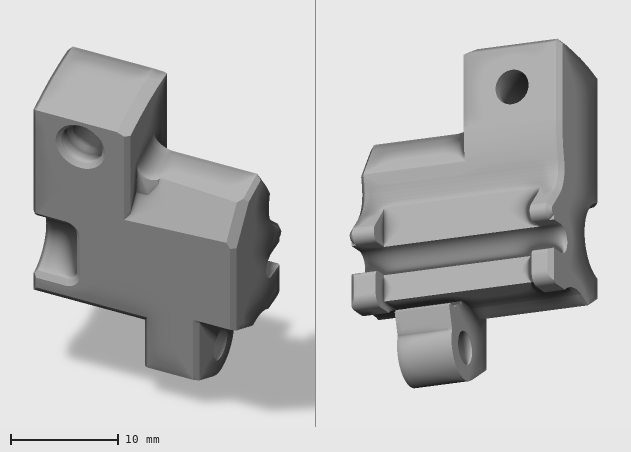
import cadquery as cq
import math

width = 20.6
edge_break = 0.45
slant_edge_break = 0.85
overshoot = 1.0
slab_size = 4 * width
tolerance = 0.01

tower_width = 9.84
top_z = 31.04
top_radius = 28.5
tower_corner_run = 1.19
tower_corner_drop = 0.5
back_y = 8.98
back_top_chamfer = 0.4
top_tangent_y = back_y - back_top_chamfer

shoulder_z = 23.8
shoulder_ridge_y = 6.3
shoulder_rear_slope = math.radians(55)
rear_edge_slope = math.radians(65)
shoulder_fall = 0.197
slant_z = 19.52
slant_rise_y = 1.207
slant_rise_x = 0.054
inner_fillet = 1.9
nose_foot = cq.Vector(tower_width, 1.74, 21.66)
nose_corner = cq.Vector(11.07, nose_foot.y, nose_foot.z)
nose_top = cq.Vector(tower_width, 2.0, 24.3)
nose_end = cq.Vector(12.17, 2.9, 23.13)

dip_start_z = 23.1
dip_radius = 3.6
dip_y = 8.46
lip_slope = math.radians(45)
max_y = 11.37
lip_radius = 0.9

slot_y = 8.75
slot_z = 11.42
slot_radius = 1.38
slot_top_z = slot_z + slot_radius
slot_bottom_z = slot_z - slot_radius

lower_lip_y = 10.92
lower_lip_radius = 0.5
ear_bottom_z = 6.67
ear_corner_radius = 1.1
left_ear_x = 2.07
right_ear_x = 17.95

pivot_y = 5.41
pivot_z = 3.13
pivot_hole_radius = 1.61
tab_radius = 3.13
clearance_radius = 4.34
clearance_end_y = 4.2
tab_left_x = 11.28
tab_right_x = 16.83
tab_horn_radius = 4.1
tab_horn_y = 9.08
tab_horn_z = 6.55
tab_horn_corner = 0.3
horn_bend_y = 7.9
tab_notch_z = 4.1
tab_root_y = 6.2

underside_slope = math.tan(math.radians(30))
underside_low_y = 2.57
right_underside_z = 9.8

pocket_y = -0.42
pocket_z = 13.58
pocket_radius = 3.4
pocket_depth = 4.38
pocket_fillet = 1.0
pocket_chamfer = 0.4

screw_x = 4.92
screw_z = 26.77
screw_rim_radius = 2.5
screw_bore_radius = 2.1
screw_through_radius = 1.68
screw_bore_depth = 1.75


def yz_prism(sketch, x_start, x_end):
    """Extrude a closed YZ sketch from x_start to x_end."""
    return sketch.extrude(x_end - x_start).translate((x_start, 0, 0))


def block(x_range, y_range, z_range):
    """Box given by its limits along each axis."""
    low = (x_range[0], y_range[0], z_range[0])
    size = (x_range[1] - x_range[0], y_range[1] - y_range[0], z_range[1] - z_range[0])
    return cq.Workplane("XY").box(*size, centered=False).translate(low)


def half_space(first, second, third):
    """Large slab bounded by the plane through three points, on the side of its normal."""
    along = second - first
    plane = cq.Plane(origin=first, xDir=along, normal=along.cross(third - first))
    return cq.Workplane(plane).rect(slab_size, slab_size).extrude(slab_size)


def edges_where(part, test):
    """Select the edges whose bounding box passes the test."""
    chosen = [edge for edge in part.edges().vals() if test(edge.BoundingBox())]
    return part.newObject(chosen)


def arc_height(radius, y):
    """Height on the upper side of a circle around the pivot."""
    return pivot_z + math.sqrt(radius**2 - (y - pivot_y) ** 2)


def full_body():
    """Side contour over the full width, still without the slot."""
    crown_center_z = top_z - top_radius
    crown_front_z = crown_center_z + math.sqrt(top_radius**2 - top_tangent_y**2)
    crown_mid_y = top_tangent_y / 2
    crown_mid_z = crown_center_z + math.sqrt(top_radius**2 - crown_mid_y**2)

    lip_center = (max_y - lip_radius, slot_top_z + lip_radius)
    dip_center_y = dip_y + dip_radius
    dip_z = (
        lip_center[1]
        - (dip_center_y - lip_center[0]) * math.tan(lip_slope)
        + (dip_radius + lip_radius) / math.cos(lip_slope)
    )
    across = dip_center_y - back_y
    along = dip_start_z - dip_z
    lead_radius = (across**2 + along**2 - dip_radius**2) / (2 * (dip_radius - across))
    dip_tilt = math.asin(along / (lead_radius + dip_radius))

    def dip_point(angle):
        return (dip_center_y - dip_radius * math.cos(angle), dip_z + dip_radius * math.sin(angle))

    lip_start = dip_point(-lip_slope)
    lip_upper = (
        lip_center[0] + lip_radius * math.cos(lip_slope),
        lip_center[1] + lip_radius * math.sin(lip_slope),
    )
    clearance_half = math.sqrt(clearance_radius**2 - (ear_bottom_z - pivot_z) ** 2)

    sketch = (
        cq.Workplane("YZ")
        .moveTo(0, crown_front_z)
        .threePointArc((crown_mid_y, crown_mid_z), (top_tangent_y, top_z))
        .lineTo(back_y, top_z - back_top_chamfer)
        .lineTo(back_y, dip_start_z)
        .tangentArcPoint(dip_point(dip_tilt), relative=False)
        .threePointArc(dip_point(-dip_tilt), lip_start)
        .lineTo(*lip_upper)
        .threePointArc((max_y, lip_center[1]), (lip_center[0], slot_top_z))
        .lineTo(lower_lip_y - lower_lip_radius, slot_z)
        .lineTo(lower_lip_y, slot_bottom_z)
        .lineTo(lower_lip_y, ear_bottom_z)
        .lineTo(pivot_y + clearance_half, ear_bottom_z)
        .threePointArc(
            (pivot_y, pivot_z + clearance_radius),
            (clearance_end_y, arc_height(clearance_radius, clearance_end_y)),
        )
        .lineTo(underside_low_y, ear_bottom_z)
        .lineTo(0, ear_bottom_z + underside_low_y * underside_slope)
        .close()
    )
    return yz_prism(sketch, 0, width)


def cut_shoulder(body):
    """Lower the body right of the tower to a ridge, sloped at the rear and falling to a slanted face."""
    fall_front_z = shoulder_z - shoulder_ridge_y * shoulder_fall
    rear_y = back_y - back_top_chamfer
    rear_z = shoulder_z - (rear_y - shoulder_ridge_y) * math.tan(shoulder_rear_slope)
    above = (
        cq.Workplane("YZ")
        .moveTo(max_y, rear_z - (max_y - rear_y) * math.tan(rear_edge_slope))
        .lineTo(rear_y, rear_z)
        .lineTo(shoulder_ridge_y, shoulder_z)
        .lineTo(-overshoot, fall_front_z - overshoot * shoulder_fall)
        .lineTo(-overshoot, top_z + overshoot)
        .lineTo(max_y, top_z + overshoot)
        .close()
    )
    above_shoulder = yz_prism(above, tower_width, width + overshoot)
    return body.cut(above_shoulder.union(above_slant()).cut(inner_fillet_wedge()))


def above_slant():
    """Space in front of the slanted face."""
    corner = cq.Vector(tower_width, 0, slant_z)
    across = cq.Vector(1, 0, slant_rise_x)
    inward = cq.Vector(0, 1, slant_rise_y)
    above = half_space(corner, corner + across, corner + inward)
    limits = block((tower_width, width + overshoot), (-overshoot, max_y), (slant_z - overshoot, top_z))
    return above.intersect(limits)


def inner_fillet_wedge():
    """Concave fillet between the tower side and the falling shoulder, with a slanted front end."""
    plane = cq.Plane(
        origin=(tower_width, shoulder_ridge_y, shoulder_z),
        xDir=(1, 0, 0),
        normal=(0, -1, -shoulder_fall),
    )
    middle = inner_fillet * (1 - math.sqrt(0.5))
    wedge = (
        cq.Workplane(plane)
        .moveTo(0, -inner_fillet)
        .lineTo(0, inner_fillet)
        .threePointArc((middle, middle), (inner_fillet, 0))
        .lineTo(inner_fillet, -inner_fillet)
        .close()
        .extrude(shoulder_ridge_y)
    )
    behind_nose = half_space(nose_foot, nose_top, nose_corner)
    behind_end = half_space(nose_corner, nose_top, nose_end)
    above_foot = block((0, width), (0, back_y), (nose_foot.z, top_z))
    return wedge.intersect(behind_nose).intersect(behind_end).intersect(above_foot)


def cut_between_ears(body):
    """Clear the back between the ears and the space above the tab."""
    inner = (left_ear_x, right_ear_x)
    behind = block(inner, (back_y, max_y + overshoot), (0, top_z))
    above_tab = block(inner, (pivot_y, max_y), (0, pivot_z + clearance_radius))
    return body.cut(behind).cut(above_tab)


def cut_right_underside(body):
    """Steepened underside right of the tab."""
    end_y = (right_underside_z - ear_bottom_z) / underside_slope
    below = (
        cq.Workplane("YZ")
        .moveTo(0, right_underside_z)
        .lineTo(end_y, ear_bottom_z)
        .lineTo(0, ear_bottom_z)
        .close()
    )
    return body.cut(yz_prism(below, tab_right_x, width))


def break_side_edges(body):
    """Chamfer the outer side faces along the front, top and back, leaving the underside sharp."""

    def on_slant(box):
        return box.xmin > width - tolerance and box.ymin < tolerance < box.ymax and box.zmin > slot_z

    def on_contour(box):
        on_side = box.xmax < tolerance or box.xmin > width - tolerance
        at_front = box.ymax < tolerance
        at_back = box.ymin > lower_lip_y - tolerance
        return on_side and not on_slant(box) and (at_front or at_back or box.zmin > slot_z + tolerance)

    wide = edges_where(body, on_slant).chamfer(slant_edge_break)
    return edges_where(wide, on_contour).chamfer(edge_break)


def bevel_tower_corner(body):
    """Bevel the tower's top right corner, longer along the top than down the side."""

    def corner(box):
        on_tower_side = abs(box.xmin - tower_width) < tolerance and abs(box.xmax - tower_width) < tolerance
        return on_tower_side and box.zmax > top_z - tolerance and box.ymin < tolerance

    return edges_where(body, corner).chamfer(tower_corner_drop, tower_corner_run)


def cut_slot(body):
    """Round-bottomed slot across both ears, with a rounded lower lip."""
    open_y = max_y + overshoot
    lip_z = slot_bottom_z - lower_lip_radius
    sketch = (
        cq.Workplane("YZ")
        .moveTo(open_y, slot_top_z)
        .lineTo(slot_y, slot_top_z)
        .threePointArc((slot_y - slot_radius, slot_z), (slot_y, slot_bottom_z))
        .lineTo(lower_lip_y - lower_lip_radius, slot_bottom_z)
        .radiusArc((lower_lip_y, lip_z), lower_lip_radius)
        .lineTo(open_y, lip_z)
        .close()
    )
    return body.cut(yz_prism(sketch, 0, width))


def round_ear_corners(body):
    """Round the lower rear corner of both ears."""
    sketch = (
        cq.Workplane("YZ")
        .moveTo(lower_lip_y - ear_corner_radius, ear_bottom_z)
        .radiusArc((lower_lip_y, ear_bottom_z + ear_corner_radius), -ear_corner_radius)
        .lineTo(lower_lip_y, ear_bottom_z)
        .close()
    )
    return body.cut(yz_prism(sketch, 0, width))


def hinge_tab():
    """Rounded hinge tab with a horn at the back."""
    tangent = math.atan(underside_slope)
    round_front = (pivot_y - tab_radius * math.sin(tangent), pivot_z - tab_radius * math.cos(tangent))
    horn_root = (tab_root_y, arc_height(tab_horn_radius, tab_root_y))
    horn_bend = (horn_bend_y, arc_height(tab_horn_radius, horn_bend_y))
    horn_mid_y = (horn_root[0] + horn_bend[0]) / 2
    notch_angle = math.asin((tab_notch_z - pivot_z) / tab_radius)
    round_back = (pivot_y + tab_radius * math.cos(notch_angle), tab_notch_z)
    sketch = (
        cq.Workplane("YZ")
        .moveTo(0, right_underside_z)
        .lineTo(0, round_front[1] + round_front[0] * underside_slope)
        .lineTo(*round_front)
        .threePointArc((pivot_y, pivot_z - tab_radius), (pivot_y + tab_radius, pivot_z))
        .radiusArc(round_back, -tab_radius)
        .lineTo(tab_horn_y, tab_horn_z - tab_horn_corner)
        .lineTo(tab_horn_y - tab_horn_corner, tab_horn_z)
        .lineTo(*horn_bend)
        .threePointArc((horn_mid_y, arc_height(tab_horn_radius, horn_mid_y)), horn_root)
        .lineTo(tab_root_y, right_underside_z)
        .close()
    )
    return yz_prism(sketch, tab_left_x, tab_right_x)


def break_front_edges(body):
    """Chamfer the tower's right edge, the left underside and the tab's sides at the front face."""

    def on_front(box):
        if box.ymax > tolerance:
            return False
        upright = box.xmax - box.xmin < tolerance
        inside = box.xmin > edge_break + tolerance and box.xmax < width - edge_break - tolerance
        left_underside = box.xmax < tab_left_x + tolerance and box.zmax < right_underside_z
        return (upright and inside) or left_underside

    return edges_where(body, on_front).chamfer(edge_break)


def pivot_hole():
    """Hinge pin hole along X."""
    return cq.Workplane("YZ").center(pivot_y, pivot_z).circle(pivot_hole_radius).extrude(width)


def screw_hole():
    """Through hole from the front with a countersunk rim and a coned step."""
    step = screw_bore_radius - screw_through_radius
    rim = screw_rim_radius - screw_bore_radius
    return (
        cq.Workplane("XY")
        .lineTo(screw_rim_radius, 0)
        .lineTo(screw_bore_radius, rim)
        .lineTo(screw_bore_radius, screw_bore_depth)
        .lineTo(screw_through_radius, screw_bore_depth + step)
        .lineTo(screw_through_radius, back_y + overshoot)
        .lineTo(0, back_y + overshoot)
        .close()
        .revolve(360, (0, 0, 0), (0, 1, 0))
        .translate((screw_x, 0, screw_z))
    )


def cut_side_pocket(body):
    """Half-round pocket open to the left and front, with a rounded floor and chamfered rims."""
    fillet_mid = pocket_fillet * math.sqrt(0.5)
    floor_radius = pocket_radius - pocket_fillet
    fillet_x = pocket_depth - pocket_fillet
    cutter = (
        cq.Workplane("XY")
        .lineTo(0, pocket_radius + pocket_chamfer)
        .lineTo(pocket_chamfer, pocket_radius)
        .lineTo(fillet_x, pocket_radius)
        .threePointArc((fillet_x + fillet_mid, floor_radius + fillet_mid), (pocket_depth, floor_radius))
        .lineTo(pocket_depth, 0)
        .close()
        .revolve(360, (0, 0, 0), (1, 0, 0))
        .translate((0, pocket_y, pocket_z))
    )

    def front_rim(box):
        in_depth = tolerance < box.xmin and box.xmax < pocket_depth + tolerance
        in_height = box.zmin > pocket_z - pocket_radius and box.zmax < pocket_z + pocket_radius
        return box.ymax < tolerance and in_depth and in_height

    return edges_where(body.cut(cutter), front_rim).chamfer(edge_break)


body = break_side_edges(cut_shoulder(full_body()))
body = bevel_tower_corner(body)
body = cut_right_underside(cut_between_ears(body))
body = round_ear_corners(cut_slot(body))
body = break_front_edges(body.union(hinge_tab()))
body = body.cut(pivot_hole()).cut(screw_hole())
result = cut_side_pocket(body)